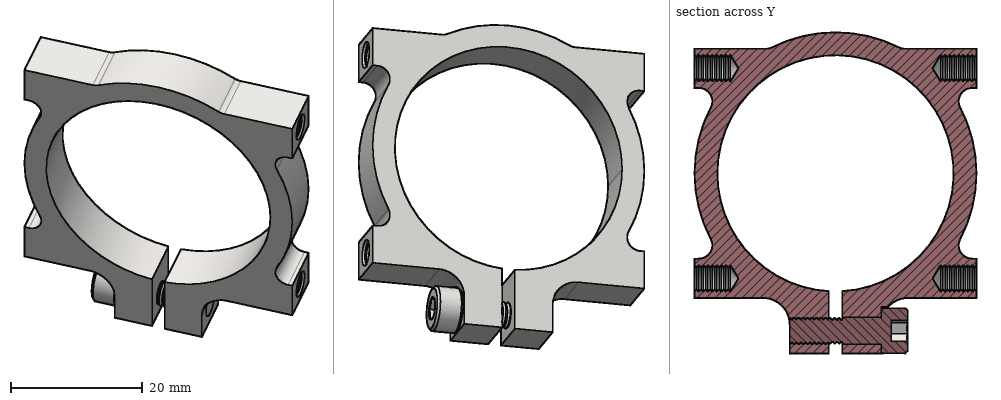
import cadquery as cq
import math

BRACKET_DEPTH = 8.0
RING_RADIUS = 21.5
BORE_RADIUS = 18.0
BAR_OUTER = 19.0
BAR_INNER = 13.0
RING_FILLET = 2.0

TOTAL_HEIGHT = 49.0
LUG_HALF_WIDTH = 7.0
LUG_FILLET = 4.0
LUG_BOTTOM = RING_RADIUS - TOTAL_HEIGHT
SLOT_WIDTH = 2.0

THREAD_RADIUS = 2.0
THREAD_ROOT_RADIUS = 1.65
THREAD_PITCH = 0.7

TAP_HEIGHT = 16.0
TAP_GROOVES = 8
DRILL_POINT_ANGLE = 118

SCREW_GROOVES = 12
HEAD_RADIUS = 3.5
HEAD_LENGTH = 4.0
HEAD_CHAMFER = 0.4
UNDERHEAD_CHAMFER_LENGTH = 0.3
UNDERHEAD_CHAMFER_DEPTH = 0.15
SOCKET_ACROSS_FLATS = 3.0
SOCKET_DEPTH = 2.5
SOCKET_MOUTH_RADIUS = 1.75
SOCKET_MOUTH_DEPTH = 0.15
SOCKET_TURN = 45
SCREW_HEIGHT = LUG_BOTTOM + HEAD_RADIUS
HEAD_END = -LUG_HALF_WIDTH - HEAD_LENGTH
SPOTFACE_RADIUS = 3.65


def start_along_x(x, z, direction=1):
    """Workplane at (x, 0, z) facing +X or -X, with its local x axis pointing up."""
    return cq.Workplane(cq.Plane(origin=(x, 0, z), xDir=(0, 0, 1), normal=(direction, 0, 0)))


def rod_along_x(radius, length, x, z, direction=1):
    """Round rod from (x, 0, z) along +X or -X."""
    return start_along_x(x, z, direction).circle(radius).extrude(length)


def threaded_rod(groove_count, x, z, direction=1):
    """Rod from (x, 0, z) along +X or -X whose thread is a row of V grooves, one per pitch."""
    profile = [(0, 0), (THREAD_RADIUS, 0)]
    for groove in range(groove_count):
        profile.append((THREAD_ROOT_RADIUS, (groove + 0.5) * THREAD_PITCH))
        profile.append((THREAD_RADIUS, (groove + 1) * THREAD_PITCH))
    profile.append((0, groove_count * THREAD_PITCH))
    half_section_plane = cq.Plane(origin=(x, 0, z), xDir=(0, 0, 1), normal=(0, direction, 0))
    half_section = cq.Workplane(half_section_plane).polyline(profile).close()
    return half_section.revolve(360, (0, 0), (0, 1))


def cone(base_radius, tip_radius, length, x, z, direction=1):
    """Cone along +X or -X, with its base centred at (x, 0, z)."""
    base = cq.Vector(x, 0, z)
    return cq.Workplane(cq.Solid.makeCone(base_radius, tip_radius, length, base, cq.Vector(direction, 0, 0)))



def block(x_min, x_max, z_min, z_max):
    """Rectangular block over the full depth of the bracket."""
    size_x = x_max - x_min
    size_z = z_max - z_min
    return cq.Workplane("XY").box(size_x, BRACKET_DEPTH, size_z).translate(
        ((x_min + x_max) / 2, 0, (z_min + z_max) / 2)
    )


def disc(radius):
    """Disc about the ring axis over the full depth of the bracket."""
    return cq.Workplane("XZ").circle(radius).extrude(BRACKET_DEPTH / 2, both=True)


def fillet_corner(body, x, z, radius):
    """Fillet the edges along Y at (x, z) and at its mirror image (-x, z)."""
    for side in (-1, 1):
        body = body.edges(cq.NearestToPointSelector((side * x, 0, z))).fillet(radius)
    return body


def ring_half_width(z):
    """Half the width of the ring's outside at height z."""
    return math.sqrt(RING_RADIUS**2 - z**2)


def bracket_outline():
    """Ring with two cross bars and the lug block, before the openings are cut."""
    body = disc(RING_RADIUS).intersect(block(-RING_RADIUS, RING_RADIUS, -BAR_OUTER, RING_RADIUS))
    body = body.union(block(-RING_RADIUS, RING_RADIUS, BAR_INNER, BAR_OUTER))
    body = body.union(block(-RING_RADIUS, RING_RADIUS, -BAR_OUTER, -BAR_INNER))
    body = body.union(block(-LUG_HALF_WIDTH, LUG_HALF_WIDTH, LUG_BOTTOM, -BAR_INNER)).clean()
    for z in (BAR_OUTER, BAR_INNER, -BAR_INNER):
        body = fillet_corner(body, ring_half_width(z), z, RING_FILLET)
    return fillet_corner(body, LUG_HALF_WIDTH, -BAR_OUTER, LUG_FILLET)


def tapped_hole(side, z):
    """Cutter for a tapped blind hole with a drill point, in the bar end on one side (-1 or 1)."""
    thread = threaded_rod(TAP_GROOVES, side * RING_RADIUS, z, -side)
    bottom = side * (RING_RADIUS - TAP_GROOVES * THREAD_PITCH)
    point_length = THREAD_RADIUS / math.tan(math.radians(DRILL_POINT_ANGLE / 2))
    return thread.union(cone(THREAD_RADIUS, 0, point_length, bottom, z, -side))


def make_bracket(shank):
    """Bracket with bore, clamping slot, tapped holes, spot face and a hole that fits the shank."""
    body = bracket_outline().cut(disc(BORE_RADIUS))
    body = body.cut(block(-SLOT_WIDTH / 2, SLOT_WIDTH / 2, LUG_BOTTOM, 0))
    for side in (-1, 1):
        for z in (-TAP_HEIGHT, TAP_HEIGHT):
            body = body.cut(tapped_hole(side, z))
    spotface = rod_along_x(SPOTFACE_RADIUS, HEAD_LENGTH, HEAD_END, SCREW_HEIGHT)
    return body.cut(spotface).cut(shank).solids()



def make_shank():
    """Shank through both lugs: plain under the head, then threaded to its end."""
    thread_start = LUG_HALF_WIDTH - SCREW_GROOVES * THREAD_PITCH
    plain = rod_along_x(THREAD_RADIUS, thread_start + LUG_HALF_WIDTH, -LUG_HALF_WIDTH, SCREW_HEIGHT)
    return plain.union(threaded_rod(SCREW_GROOVES, thread_start, SCREW_HEIGHT))


def screw_head():
    """Cylindrical head with a chamfer at each end and a countersunk hexagon socket."""
    head = rod_along_x(HEAD_RADIUS, HEAD_LENGTH, HEAD_END, SCREW_HEIGHT)
    head = head.faces("<X").chamfer(HEAD_CHAMFER)
    underside = head.faces(">X").edges()
    head = underside.chamfer(UNDERHEAD_CHAMFER_LENGTH, UNDERHEAD_CHAMFER_DEPTH)
    across_corners = SOCKET_ACROSS_FLATS / math.cos(math.radians(30))
    socket = (
        start_along_x(HEAD_END, SCREW_HEIGHT)
        .transformed(rotate=(0, 0, SOCKET_TURN))
        .polygon(6, across_corners)
        .extrude(SOCKET_DEPTH)
    )
    countersink = cone(
        SOCKET_MOUTH_RADIUS, SOCKET_ACROSS_FLATS / 2, SOCKET_MOUTH_DEPTH, HEAD_END, SCREW_HEIGHT
    )
    return head.cut(socket).cut(countersink)


def make_screw(shank):
    """Cap screw: head and shank in one solid."""
    return screw_head().union(shank).solids()


screw_shank = make_shank()
bracket = make_bracket(screw_shank)
screw = make_screw(screw_shank)

result = cq.Compound.makeCompound([bracket.val(), screw.val()])